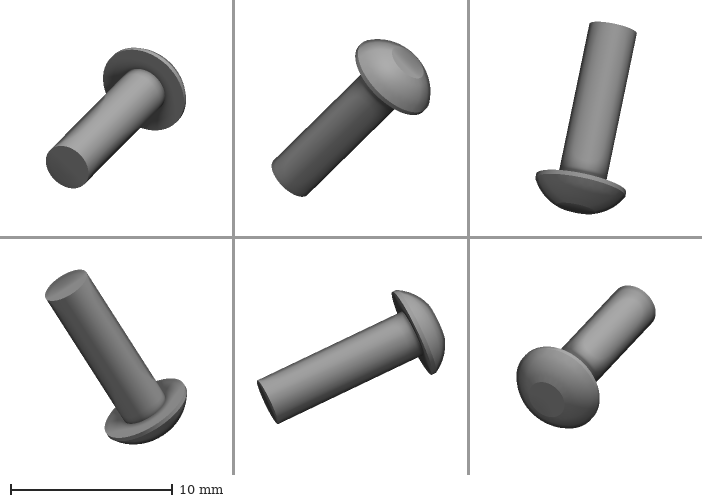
import cadquery as cq
import math

shank_diameter = 3.0
shank_length = 10.0
head_diameter = 5.7
head_height = 1.65
rim_height = 0.27
crown_flat_diameter = 2.5
dome_radius = 3.0

shank_radius = shank_diameter / 2
head_radius = head_diameter / 2
crown_flat_radius = crown_flat_diameter / 2


def dome_midpoint():
    """Midpoint (radius, Y) of the dome arc between the rim and the crown flat."""
    run = head_radius - crown_flat_radius
    rise = head_height - rim_height
    chord = math.hypot(run, rise)
    bulge = dome_radius - math.sqrt(dome_radius**2 - (chord / 2) ** 2)
    return (
        (head_radius + crown_flat_radius) / 2 + bulge * rise / chord,
        (head_height + rim_height) / 2 + bulge * run / chord,
    )


def make_pin():
    """Revolve the half section of shank and head about the Y axis."""
    half_section = (
        cq.Workplane("XY")
        .moveTo(0, -shank_length)
        .lineTo(shank_radius, -shank_length)
        .lineTo(shank_radius, 0)
        .lineTo(head_radius, 0)
        .lineTo(head_radius, rim_height)
        .threePointArc(dome_midpoint(), (crown_flat_radius, head_height))
        .lineTo(0, head_height)
        .close()
    )
    return half_section.revolve(360, (0, 0, 0), (0, 1, 0))


result = make_pin()